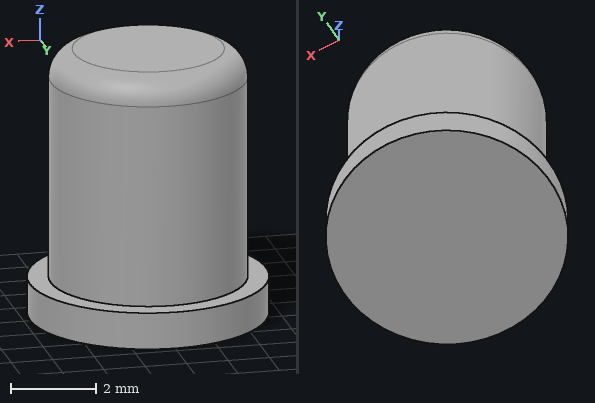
import cadquery as cq
import math

total_height = 6.7
flange_diameter = 5.7
flange_height = 0.9
body_diameter = 4.7

dome_radius = 9.005
blend_radius = 0.7

flange_radius = flange_diameter / 2
body_radius = body_diameter / 2

dome_center_z = total_height - dome_radius
blend_center_x = body_radius - blend_radius
center_distance = dome_radius - blend_radius
blend_center_z = dome_center_z + math.sqrt(center_distance**2 - blend_center_x**2)

dome_angle = math.asin(blend_center_x / center_distance)
blend_middle_angle = (dome_angle + math.pi / 2) / 2


def arc_point(center_x, center_z, radius, angle):
    """Point on an arc, with the angle measured from +Z towards +X."""
    return (center_x + radius * math.sin(angle), center_z + radius * math.cos(angle))


blend_middle = arc_point(blend_center_x, blend_center_z, blend_radius, blend_middle_angle)
dome_edge = arc_point(0, dome_center_z, dome_radius, dome_angle)
dome_middle = arc_point(0, dome_center_z, dome_radius, dome_angle / 2)

result = (
    cq.Workplane("XZ")
    .moveTo(0, 0)
    .lineTo(flange_radius, 0)
    .lineTo(flange_radius, flange_height)
    .lineTo(body_radius, flange_height)
    .lineTo(body_radius, blend_center_z)
    .threePointArc(blend_middle, dome_edge)
    .threePointArc(dome_middle, (0, total_height))
    .close()
    .revolve(360, (0, 0, 0), (0, 1, 0))
)